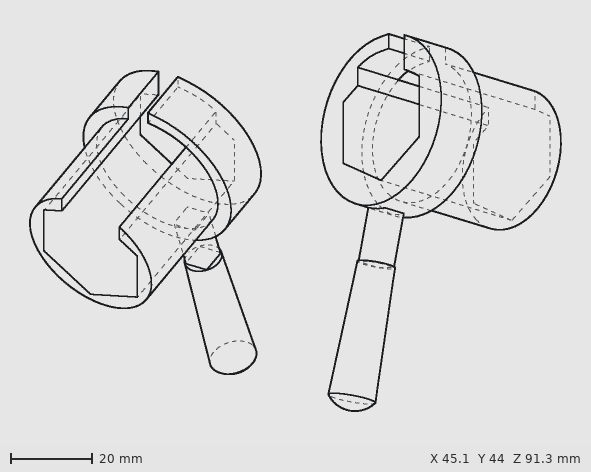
import cadquery as cq
import math

TOTAL_LENGTH = 44.0
COLLAR_LENGTH = 13.7
COLLAR_RADIUS = 21.6
SLEEVE_RADIUS = 17.8
HEX_ACROSS_FLATS = 27.4
HEX_CORNER_RADIUS = 0.5
SLOT_HALF_WIDTH = 8.4
LIP_LENGTH = 2.7

LEVER_ANGLE = 15.0
LEVER_Y = -COLLAR_LENGTH / 2
BAR_WIDTH = 6.6
BAR_EDGE_RADIUS = 0.5

GRIP_START = 35.0
GRIP_LENGTH = 33.9
GRIP_START_RADIUS = 4.75
GRIP_END_RADIUS = 5.9
DOME_HEIGHT = 3.0


def y_cylinder(radius, length):
    """Cylinder on the Y axis, running from Y = 0 toward -Y."""
    return cq.Workplane("XZ").circle(radius).extrude(length)


def x_z_block(x_min, x_max, z_min, z_max, length):
    """Block given by its X and Z limits, running from Y = 0 toward -Y."""
    return (
        cq.Workplane("XZ")
        .moveTo(x_min, z_min)
        .lineTo(x_max, z_min)
        .lineTo(x_max, z_max)
        .lineTo(x_min, z_max)
        .close()
        .extrude(length)
    )


def along_lever(solid):
    """Turn a solid built along +Z to the lever direction and move it to the collar middle."""
    turned = solid.rotate((0, 0, 0), (0, 1, 0), 180 - LEVER_ANGLE)
    return turned.translate((0, LEVER_Y, 0))


def make_hex_bore():
    """Hexagon with flats facing +X and -X and slightly rounded corners."""
    corner_diameter = HEX_ACROSS_FLATS / math.cos(math.radians(30))
    hexagon = cq.Workplane("XZ").polygon(6, corner_diameter).extrude(TOTAL_LENGTH)
    return hexagon.edges("|Y").fillet(HEX_CORNER_RADIUS).rotate((0, 0, 0), (0, 1, 0), 30)


def make_collar():
    """Ring open at the top left, with a straight lip ending at the gap."""
    ring = y_cylinder(COLLAR_RADIUS, COLLAR_LENGTH).cut(y_cylinder(SLEEVE_RADIUS, COLLAR_LENGTH))
    gap = x_z_block(-SLOT_HALF_WIDTH, 0, 0, COLLAR_RADIUS, COLLAR_LENGTH)
    lip = x_z_block(-LIP_LENGTH, 0, SLEEVE_RADIUS, COLLAR_RADIUS, COLLAR_LENGTH)
    return ring.cut(gap).union(lip)


def make_sleeve():
    """Tube with the hexagon bore, open along the top through a full-length slot."""
    slot = x_z_block(-SLOT_HALF_WIDTH, SLOT_HALF_WIDTH, 0, SLEEVE_RADIUS, TOTAL_LENGTH)
    return y_cylinder(SLEEVE_RADIUS, TOTAL_LENGTH).cut(make_hex_bore()).cut(slot)


def make_socket():
    return make_sleeve().union(make_collar())


def make_bar():
    """Square bar whose upper end is saddled to the collar's outer surface."""
    bar = cq.Workplane("XY").rect(BAR_WIDTH, BAR_WIDTH).extrude(GRIP_START)
    bar = bar.edges("|Z").fillet(BAR_EDGE_RADIUS)
    return along_lever(bar).cut(y_cylinder(COLLAR_RADIUS, COLLAR_LENGTH))


def make_grip():
    """Taper and spherical dome revolved about the lever axis."""
    grip_end = GRIP_START + GRIP_LENGTH
    dome_radius = (GRIP_END_RADIUS**2 + DOME_HEIGHT**2) / (2 * DOME_HEIGHT)
    dome_tip = grip_end + DOME_HEIGHT
    dome_center = dome_tip - dome_radius
    half_angle = math.asin(GRIP_END_RADIUS / dome_radius) / 2
    dome_middle = (dome_radius * math.sin(half_angle), dome_center + dome_radius * math.cos(half_angle))
    profile = (
        cq.Workplane("XZ")
        .moveTo(0, GRIP_START)
        .lineTo(GRIP_START_RADIUS, GRIP_START)
        .lineTo(GRIP_END_RADIUS, grip_end)
        .threePointArc(dome_middle, (0, dome_tip))
        .close()
    )
    return along_lever(profile.revolve(360, (0, 0, 0), (0, 1, 0)))


socket = make_socket()
bar = make_bar()
grip = make_grip()

result = cq.Compound.makeCompound([socket.solids().val(), bar.solids().val(), grip.solids().val()])